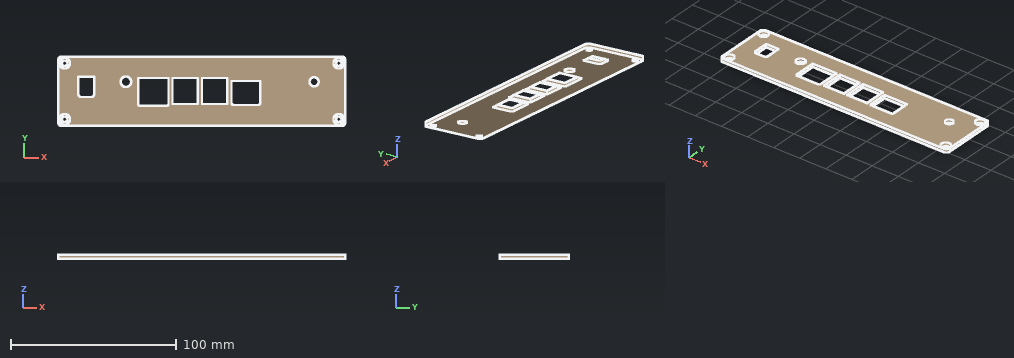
import cadquery as cq

length = 174.0
width = 42.0
thickness = 2.5
corner_radius = 2.1

screw_inset = 4.0
screw_diameter = 3.3
countersink_diameter = 6.5
countersink_angle = 90.0

round_hole_y = 5.7
left_hole_x = -46.0
left_hole_diameter = 6.3
right_hole_x = 68.0
right_hole_diameter = 5.4

inlet_left = -74.6
inlet_top = 8.7
inlet_width = 9.4
inlet_height = 12.2
inlet_radius = 1.5

row_top = 8.0
wide_left = -38.5
wide_width = 18.3
wide_height = 16.7
twin_left = -17.5
twin_pitch = 17.7
twin_width = 15.1
twin_height = 15.7

end_left = 18.1
end_top = 6.1
end_width = 17.2
end_height = 14.3
small_radius = 0.9


def rectangular_cutter(left, top, cut_width, cut_height, lower_radius=0.0):
    """Through-cutter placed by its upper left corner, with optional rounded lower corners."""
    cutter = cq.Workplane("XY").box(cut_width, cut_height, thickness, centered=False)
    if lower_radius > 0:
        cutter = cutter.edges("|Z and <Y").fillet(lower_radius)
    return cutter.translate((left, top - cut_height, 0))


def round_cutter(x, y, diameter):
    return cq.Workplane("XY").center(x, y).circle(diameter / 2).extrude(thickness)


plate = (
    cq.Workplane("XY")
    .box(length, width, thickness, centered=(True, True, False))
    .edges("|Z")
    .fillet(corner_radius)
)

plate = (
    plate.faces(">Z")
    .workplane(origin=(0, 0, thickness))
    .rect(length - 2 * screw_inset, width - 2 * screw_inset, forConstruction=True)
    .vertices()
    .cskHole(screw_diameter, countersink_diameter, countersink_angle)
)

plate = plate.cut(round_cutter(left_hole_x, round_hole_y, left_hole_diameter))
plate = plate.cut(round_cutter(right_hole_x, round_hole_y, right_hole_diameter))

plate = plate.cut(rectangular_cutter(inlet_left, inlet_top, inlet_width, inlet_height, inlet_radius))
plate = plate.cut(rectangular_cutter(wide_left, row_top, wide_width, wide_height, small_radius))
for index in range(2):
    left = twin_left + index * twin_pitch
    plate = plate.cut(rectangular_cutter(left, row_top, twin_width, twin_height))
plate = plate.cut(rectangular_cutter(end_left, end_top, end_width, end_height, small_radius))

result = plate